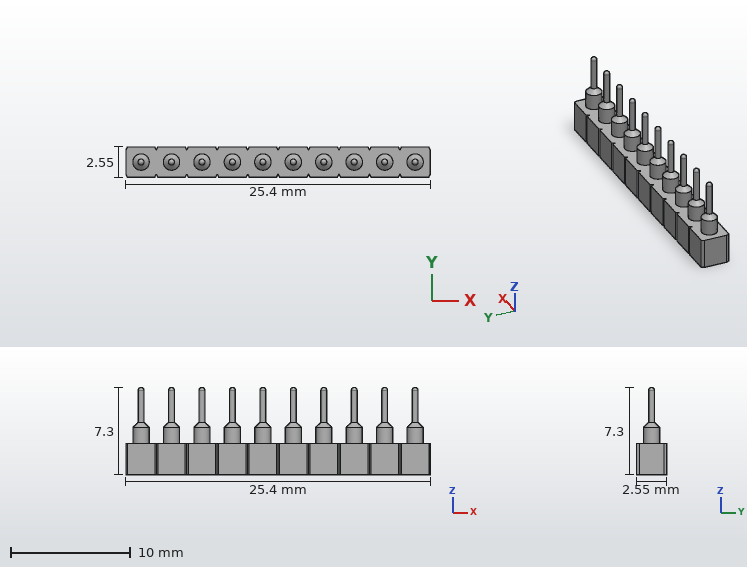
import cadquery as cq

pin_count = 10
strip_length = 25.4
strip_width = 2.55
strip_height = 2.62
pitch = strip_length / pin_count

bevel_along = 0.13
bevel_across = 0.25

collar_radius = 0.69
collar_height = 1.35
cone_height = 0.4
post_radius = 0.25
tip_height = post_radius
total_height = 7.3


def make_cell(x_center):
    """Rectangular cell of the strip with its four vertical corners beveled."""
    half_length = pitch / 2
    half_width = strip_width / 2
    corner_x = half_length - bevel_along
    corner_y = half_width - bevel_across
    return (
        cq.Workplane("XY")
        .center(x_center, 0)
        .moveTo(-half_length, -corner_y)
        .lineTo(-corner_x, -half_width)
        .lineTo(corner_x, -half_width)
        .lineTo(half_length, -corner_y)
        .lineTo(half_length, corner_y)
        .lineTo(corner_x, half_width)
        .lineTo(-corner_x, half_width)
        .lineTo(-half_length, corner_y)
        .close()
        .extrude(strip_height)
    )


def make_pin(x_center):
    """Turned pin standing on the strip, revolved about its vertical axis."""
    collar_top = strip_height + collar_height
    post_bottom = collar_top + cone_height
    post_top = total_height - tip_height
    embed_bottom = strip_height / 2
    return (
        cq.Workplane("XZ")
        .moveTo(0, embed_bottom)
        .lineTo(collar_radius, embed_bottom)
        .lineTo(collar_radius, collar_top)
        .lineTo(post_radius, post_bottom)
        .lineTo(post_radius, post_top)
        .radiusArc((0, total_height), -tip_height)
        .close()
        .revolve(360, (0, 0, 0), (0, 1, 0))
        .translate((x_center, 0, 0))
    )


cell_centers = [(index + 0.5) * pitch - strip_length / 2 for index in range(pin_count)]

strip = make_cell(cell_centers[0])
for center in cell_centers[1:]:
    strip = strip.union(make_cell(center))
strip = strip.clean()

result = strip
for center in cell_centers:
    result = result.union(make_pin(center))